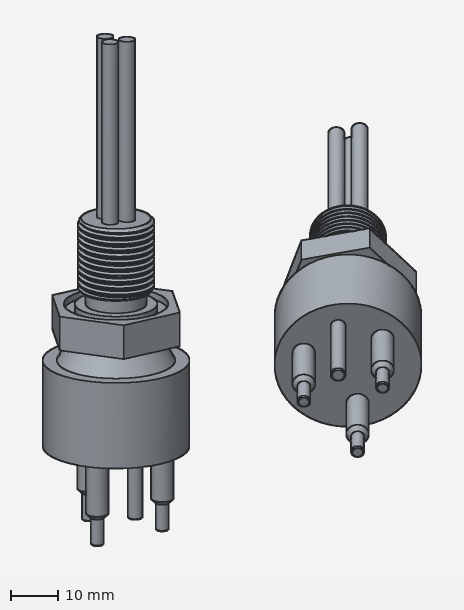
import cadquery as cq
import math

body_diameter = 31.0
body_height = 19.0
cone_base_diameter = 25.0
cone_top_diameter = 19.5
cone_height = 5.0

hex_across_flats = 25.5
hex_height = 7.5
groove_outer_diameter = 22.0
groove_inner_diameter = 17.4
groove_depth = 1.5

neck_diameter = 12.88
neck_height = 3.0
thread_diameter = 16.2
thread_root_diameter = 14.7
thread_length = 16.0
thread_pitch = 1.4
thread_crest_width = 0.34
thread_base_width = 1.32
thread_start_angle = 154.0

wire_diameter = 3.5
wire_length = 40.0
wire_offset_x = 2.5
wire_offset_y = -3.05

pin_length = 19.0
contact_circle_radius = 9.8
contact_pin_angles = (30, 150, 270)
pin_shank_diameter = 4.8
pin_shank_length = 12.0
pin_taper_length = 1.0
pin_tip_diameter = 2.8
pin_tip_chamfer = 0.3
earth_pin_diameter = 3.2
earth_pin_radius = 10.0
earth_pin_angle = 90

cone_top_z = body_height + cone_height
hex_top_z = cone_top_z + hex_height
thread_bottom_z = hex_top_z + neck_height
thread_top_z = thread_bottom_z + thread_length

overlap = 0.5
ridge_embedding = 0.1

envelope_clearance = 0.1
envelope_end_margin = 0.02


def make_cylinder(diameter, bottom_z, top_z):
    return cq.Workplane("XY").workplane(offset=bottom_z).circle(diameter / 2).extrude(top_z - bottom_z)


def make_body():
    """Round body topped by a cone, as one revolved profile."""
    return (
        cq.Workplane("XZ")
        .moveTo(0, 0)
        .lineTo(body_diameter / 2, 0)
        .lineTo(body_diameter / 2, body_height)
        .lineTo(cone_base_diameter / 2, body_height)
        .lineTo(cone_top_diameter / 2, cone_top_z)
        .lineTo(0, cone_top_z)
        .close()
        .revolve(360, (0, 0), (0, 1))
    )


def make_hex_nut():
    across_corners = hex_across_flats / math.cos(math.radians(30))
    nut = cq.Workplane("XY").workplane(offset=cone_top_z).polygon(6, across_corners).extrude(hex_height)
    groove_ring = (
        cq.Workplane("XY")
        .workplane(offset=hex_top_z - groove_depth)
        .circle(groove_outer_diameter / 2)
        .circle(groove_inner_diameter / 2)
        .extrude(groove_depth)
    )
    return nut.cut(groove_ring)


def make_thread_ridge():
    """Left-hand helical ridge that runs past both ends of the stem."""
    root_radius = thread_root_diameter / 2
    crest_radius = thread_diameter / 2
    buried_radius = root_radius - ridge_embedding
    half_crest = thread_crest_width / 2
    half_base = thread_base_width / 2
    start_z = thread_bottom_z - thread_pitch / 2
    helix_height = thread_length + thread_pitch
    path = cq.Wire.makeHelix(thread_pitch, helix_height, root_radius, cq.Vector(0, 0, start_z), lefthand=True)
    return (
        cq.Workplane("XZ")
        .moveTo(buried_radius, start_z - half_base)
        .lineTo(crest_radius, start_z - half_crest)
        .lineTo(crest_radius, start_z + half_crest)
        .lineTo(buried_radius, start_z + half_base)
        .close()
        .sweep(cq.Workplane(path), isFrenet=True)
        .rotate((0, 0, 0), (0, 0, 1), thread_start_angle)
    )


def make_threaded_stem():
    """Round core with a helical ridge that is chamfered down to the root at both ends."""
    envelope_diameter = thread_diameter + 2 * envelope_clearance
    end_chamfer = (envelope_diameter - thread_root_diameter) / 2 - envelope_end_margin
    envelope = make_cylinder(envelope_diameter, thread_bottom_z, thread_top_z)
    envelope = envelope.faces("<Z or >Z").chamfer(end_chamfer)
    core = make_cylinder(thread_root_diameter, thread_bottom_z, thread_top_z)
    return core.union(make_thread_ridge().intersect(envelope))


def make_wire(x, y):
    return make_cylinder(wire_diameter, thread_top_z - overlap, thread_top_z + wire_length).translate((x, y, 0))


def place_polar(pin, radius, angle):
    x = radius * math.cos(math.radians(angle))
    y = radius * math.sin(math.radians(angle))
    return pin.translate((x, y, 0))


def make_contact_pin():
    """Stepped pin: shank, taper and chamfered tip."""
    tip_radius = pin_tip_diameter / 2
    return (
        cq.Workplane("XZ")
        .moveTo(0, overlap)
        .lineTo(pin_shank_diameter / 2, overlap)
        .lineTo(pin_shank_diameter / 2, -pin_shank_length)
        .lineTo(tip_radius, -pin_shank_length - pin_taper_length)
        .lineTo(tip_radius, -pin_length)
        .lineTo(0, -pin_length)
        .close()
        .revolve(360, (0, 0), (0, 1))
        .faces("<Z")
        .chamfer(pin_tip_chamfer)
    )


def make_earth_pin():
    return make_cylinder(earth_pin_diameter, -pin_length, overlap).faces("<Z").chamfer(pin_tip_chamfer)


result = (
    make_body()
    .union(make_hex_nut())
    .union(make_cylinder(neck_diameter, hex_top_z - overlap, thread_bottom_z + overlap))
    .union(make_threaded_stem())
)
for wire_x, wire_y in ((-wire_offset_x, 0), (wire_offset_x, 0), (0, wire_offset_y)):
    result = result.union(make_wire(wire_x, wire_y))
for pin_angle in contact_pin_angles:
    result = result.union(place_polar(make_contact_pin(), contact_circle_radius, pin_angle))
result = result.union(place_polar(make_earth_pin(), earth_pin_radius, earth_pin_angle))